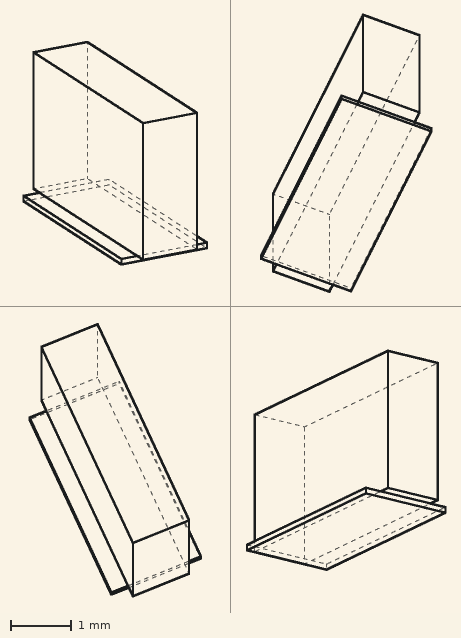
import cadquery as cq

block_length = 3.81
block_width = 1.017
block_height = 2.42

plate_length = 3.4
plate_width = 1.62
plate_thickness = 0.1


def make_plate():
    """Flat plate with its underside on Z = 0."""
    return cq.Workplane("XY").box(
        plate_length, plate_width, plate_thickness, centered=(True, True, False)
    )


def make_block():
    """Plain block standing on the top face of the plate."""
    return cq.Workplane("XY").workplane(offset=plate_thickness).box(
        block_length, block_width, block_height, centered=(True, True, False)
    )


plate = make_plate()
block = make_block()

result = cq.Compound.makeCompound([plate.val(), block.val()])